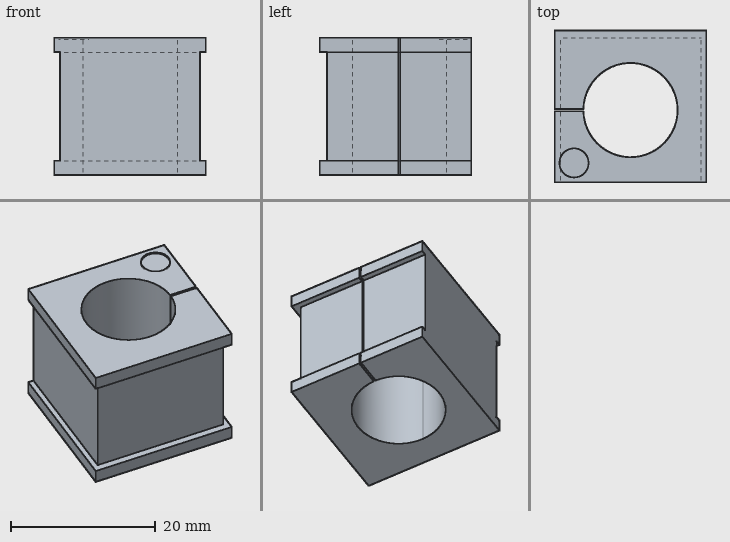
import cadquery as cq

width = 21.0
height = 19.0
flange_height = 2.0

side_inset = 0.8
back_inset = 1.0

bore_diameter = 13.0
bore_y = -0.5
slit_width = 0.3

label_diameter = 4.03
label_corner_offset = 2.69
label_depth = 0.2


def flanged_block():
    """Square block narrowed on three sides between its end flanges."""
    waist_height = height - 2 * flange_height
    flange = cq.Workplane("XY").box(width, width, flange_height, centered=(True, True, False))
    waist = (
        cq.Workplane("XY")
        .box(width - 2 * side_inset, width - back_inset, waist_height, centered=(True, True, False))
        .translate((0, -back_inset / 2, flange_height))
    )
    top_flange = flange.translate((0, 0, height - flange_height))
    return flange.union(waist).union(top_flange)


def bore():
    return cq.Workplane("XY").center(0, bore_y).circle(bore_diameter / 2).extrude(height)


def slit():
    """Thin cut from the -X side to the bore axis."""
    slit_length = width / 2
    return (
        cq.Workplane("XY")
        .center(-slit_length / 2, bore_y)
        .rect(slit_length, slit_width)
        .extrude(height)
    )


def label_recess():
    label_position = label_corner_offset - width / 2
    return (
        cq.Workplane("XY", origin=(0, 0, height))
        .center(label_position, label_position)
        .circle(label_diameter / 2)
        .extrude(-label_depth)
    )


result = flanged_block().cut(bore()).cut(slit()).cut(label_recess())